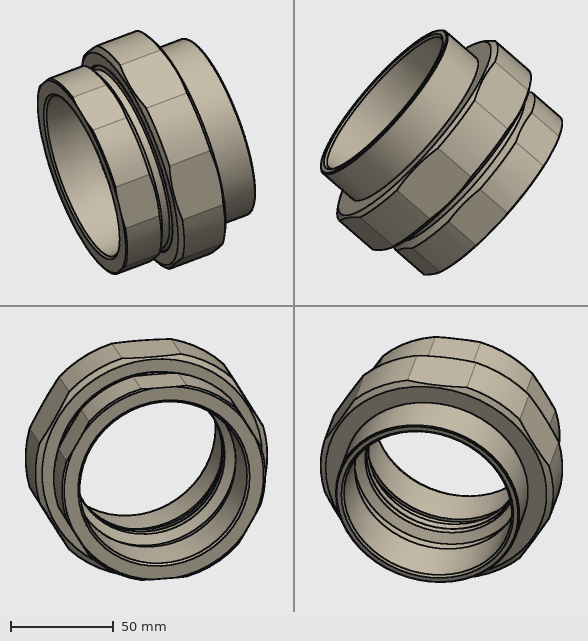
import cadquery as cq
import math


overall_length = 72.2
collar_length = 18.8
neck_start = 21.4
neck_end = 25.2
nut_front = 25.8
nut_rear = 51.5
seat = 36.4
flange_rear = 44.9

nut_radius = 115.8 / 2
nut_across_flats = 112.0
nut_face_radius = 55.0
nut_chamfer_length = 1.9
collar_radius = 101.6 / 2
collar_across_flats = 99.0
collar_face_radius = 49.8
collar_edge = 0.5
neck_radius = 92.9 / 2
lip_radius = 94.3 / 2
joint_radius = 96.0 / 2
lip_length = 0.6
nut_mouth_radius = 48.5
tail_radius = 91.5 / 2
tail_edge = 0.6

thread_entry_radius = 42.9
thread_mouth_radius = 83.5 / 2
thread_end_radius = 41.0
entry_length = 1.0
front_thread_end = 22.9
rear_thread_end = 49.2
relief_radius = 85.1 / 2
front_relief_end = 29.4
front_bore_start = 32.3
front_bore_radius = 75.4 / 2
rear_bore_radius = 75.7 / 2
rear_bore_end = 39.5
rear_relief_start = 42.6


def revolve_profile(points):
    """Turn a closed (radius, y) outline about the Y axis."""
    return cq.Workplane("XY").polyline(points).close().revolve(360, (0, 0, 0), (0, 1, 0))


def hexagon_bar(across_flats, start, end):
    """Hexagonal bar along Y with two of its flats facing up and down."""
    return (
        cq.Workplane("XZ", origin=(0, start, 0))
        .polygon(6, across_flats / math.cos(math.pi / 6))
        .extrude(start - end)
    )


def make_threaded_end():
    body = revolve_profile([
        (thread_entry_radius, 0),
        (collar_face_radius, 0),
        (collar_radius, collar_edge),
        (collar_radius, collar_length),
        (neck_radius, neck_start),
        (neck_radius, neck_end),
        (lip_radius, nut_front),
        (joint_radius, nut_front + lip_length),
        (joint_radius, seat),
        (front_bore_radius, seat),
        (front_bore_radius, front_bore_start),
        (relief_radius, front_relief_end),
        (relief_radius, front_thread_end),
        (thread_end_radius, front_thread_end),
        (thread_mouth_radius, entry_length),
    ])
    return body.intersect(hexagon_bar(collar_across_flats, 0, seat))


def make_tailpiece():
    return revolve_profile([
        (rear_bore_radius, seat),
        (joint_radius, seat),
        (joint_radius, flange_rear),
        (tail_radius, flange_rear),
        (tail_radius, overall_length - tail_edge),
        (tail_radius - tail_edge, overall_length),
        (thread_entry_radius, overall_length),
        (thread_mouth_radius, overall_length - entry_length),
        (thread_end_radius, rear_thread_end),
        (relief_radius, rear_thread_end),
        (relief_radius, rear_relief_start),
        (rear_bore_radius, rear_bore_end),
    ])


def make_union_nut():
    body = revolve_profile([
        (joint_radius, nut_front + lip_length),
        (nut_mouth_radius, nut_front),
        (nut_face_radius, nut_front),
        (nut_radius, nut_front + nut_chamfer_length),
        (nut_radius, nut_rear - nut_chamfer_length),
        (nut_face_radius, nut_rear),
        (tail_radius, nut_rear),
        (tail_radius, flange_rear),
        (joint_radius, flange_rear),
    ])
    return body.intersect(hexagon_bar(nut_across_flats, nut_front, nut_rear))


threaded_end = make_threaded_end()
tailpiece = make_tailpiece()
union_nut = make_union_nut()

result = cq.Compound.makeCompound([threaded_end.val(), tailpiece.val(), union_nut.val()])